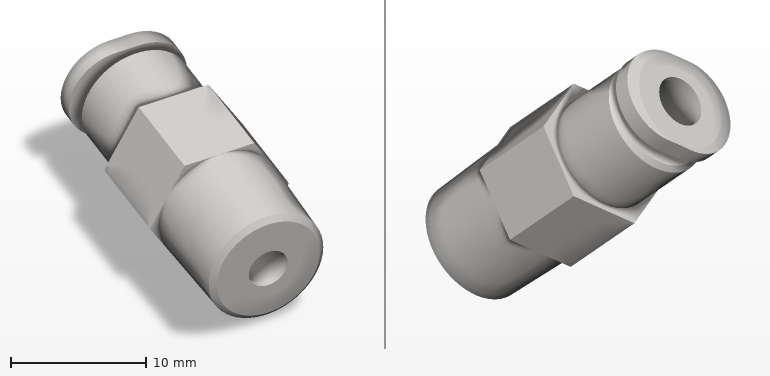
import cadquery as cq
import math

total_length = 24.5
ring_thickness = 1.5
body_start = 2.45
hex_start = 8.97
hex_end = 16.5

ring_height = 7.8
ring_width = 9.8
ring_bevel_depth = 0.15

neck_diameter = 6.0
body_diameter = 9.0
body_chamfer = 0.4
hex_across_flats = 10.0
hex_across_corners = hex_across_flats / math.cos(math.pi / 6)

taper_large_diameter = 10.0
taper_small_diameter = 9.5
taper_chamfer_length = 0.37
taper_chamfer_height = 0.5

tube_diameter = 4.0
through_diameter = 3.2
tube_depth = hex_start


def disc(diameter, start, end):
    """Cylinder on the X axis between two axial stations."""
    return cq.Workplane("YZ", origin=(start, 0, 0)).circle(diameter / 2).extrude(end - start)


def release_ring():
    """Oblong ring whose front face falls away conically outside a central circle."""
    oblong = cq.Workplane("YZ").slot2D(ring_width, ring_height).extrude(ring_thickness)
    bevel_envelope = (
        cq.Workplane("XY")
        .moveTo(0, 0)
        .lineTo(0, ring_height / 2)
        .lineTo(ring_bevel_depth, ring_width / 2)
        .lineTo(ring_thickness, ring_width / 2)
        .lineTo(ring_thickness, 0)
        .close()
        .revolve(360, (0, 0, 0), (1, 0, 0))
    )
    return oblong.intersect(bevel_envelope)


def body():
    return disc(body_diameter, body_start, hex_start).faces("<X").chamfer(body_chamfer)


def hexagon():
    """Wrench hexagon with flats on +Z and -Z and corners on the Y axis."""
    return (
        cq.Workplane("YZ", origin=(hex_start, 0, 0))
        .polygon(6, hex_across_corners)
        .extrude(hex_end - hex_start)
    )


def tapered_end():
    """Cone narrowing toward +X, with a chamfered tip."""
    small_radius = taper_small_diameter / 2
    return (
        cq.Workplane("XY")
        .moveTo(hex_end, 0)
        .lineTo(hex_end, taper_large_diameter / 2)
        .lineTo(total_length - taper_chamfer_length, small_radius)
        .lineTo(total_length, small_radius - taper_chamfer_height)
        .lineTo(total_length, 0)
        .close()
        .revolve(360, (0, 0, 0), (1, 0, 0))
    )


neck = disc(neck_diameter, ring_thickness, body_start)
outside = release_ring().union(neck).union(body()).union(hexagon()).union(tapered_end())

through_bore = disc(through_diameter, 0, total_length)
tube_socket = disc(tube_diameter, 0, tube_depth)
result = outside.cut(through_bore).cut(tube_socket)